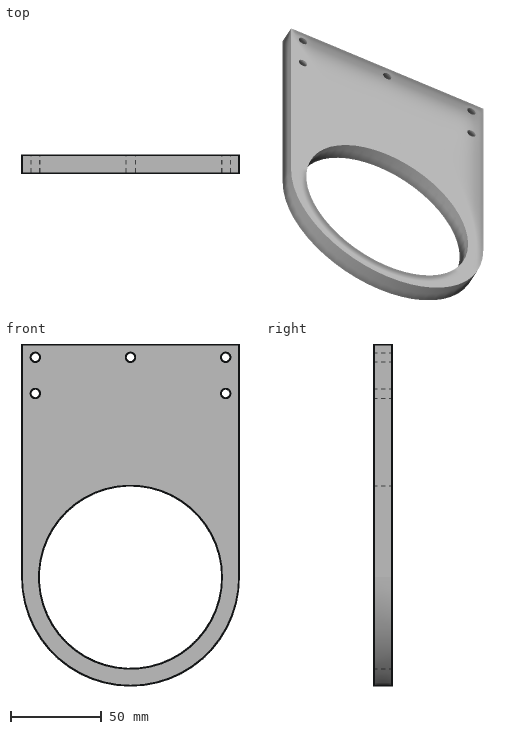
import cadquery as cq

height = 188.4
width = 120.0
thickness = 10.0
end_radius = width / 2
straight_height = height - end_radius

opening_diameter = 101.0

mount_hole_diameter = 5.0
mount_hole_offset_x = 52.5
top_row_inset = 7.0
row_spacing = 20.0
top_row_z = straight_height - top_row_inset
lower_row_z = top_row_z - row_spacing


def make_plate():
    """Plate with the centre of its round end at the origin."""
    return (
        cq.Workplane("XZ")
        .moveTo(-end_radius, straight_height)
        .lineTo(-end_radius, 0)
        .threePointArc((0, -end_radius), (end_radius, 0))
        .lineTo(end_radius, straight_height)
        .close()
        .extrude(thickness)
    )


def make_through_holes(centers, diameter):
    """Cylinders along Y that pass through the whole plate."""
    return (
        cq.Workplane("XZ")
        .pushPoints(centers)
        .circle(diameter / 2)
        .extrude(thickness)
    )


mount_hole_centers = [(0, top_row_z)]
for x in (-mount_hole_offset_x, mount_hole_offset_x):
    for z in (top_row_z, lower_row_z):
        mount_hole_centers.append((x, z))

result = (
    make_plate()
    .cut(make_through_holes([(0, 0)], opening_diameter))
    .cut(make_through_holes(mount_hole_centers, mount_hole_diameter))
)